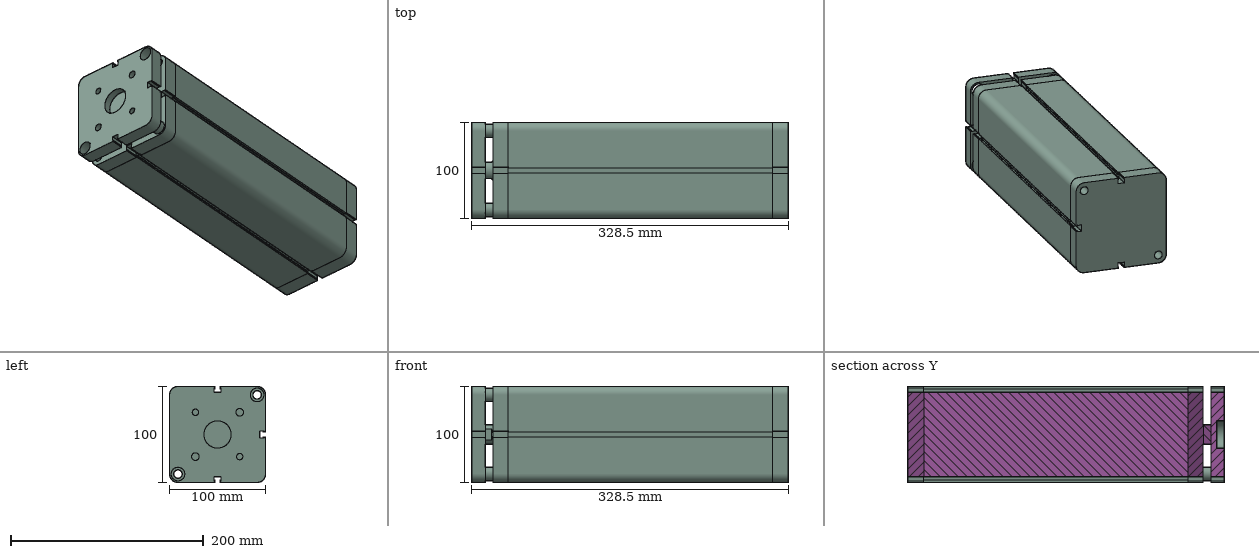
import cadquery as cq

length = 328.5
side = 100.0
corner_radius = 9.0

plate_thickness = 14.0
front_cap_start = 22.0
front_cap_thickness = 15.8
rear_cap_thickness = 16.5
barrel_start = front_cap_start + front_cap_thickness
rear_cap_start = length - rear_cap_thickness
barrel_length = rear_cap_start - barrel_start
gap = front_cap_start - plate_thickness

groove_width = 7.0
groove_depth = 6.0
mouth_width = 6.2
mouth_depth = 1.5
barrel_mouth_width = 5.0
barrel_mouth_depth = 2.5
groove_angles = (0, 90, 180)

corner_offset = 41.0
guide_points = [(corner_offset, corner_offset), (-corner_offset, -corner_offset)]
guide_diameter = 14.0
bore_points = [(-corner_offset, corner_offset), (corner_offset, -corner_offset)]
bore_diameter = 8.5
access_hole_diameter = 14.0

center_recess_diameter = 28.3
center_recess_depth = 8.0
hole_offset = 23.0
pin_hole_diameter = 8.0
screw_hole_diameter = 6.5
pin_hole_points = [(-hole_offset, hole_offset), (hole_offset, -hole_offset)]
screw_hole_points = [(-hole_offset, -hole_offset), (hole_offset, hole_offset)]

rod_diameter = 20.5
across_flats = 17.0
flat_runout = (rod_diameter - across_flats) / 2
flat_length = gap - flat_runout


def section_plane(x):
    """Cross-section plane at station x, with local axes along Y and Z."""
    return cq.Workplane("YZ", origin=(x, 0, 0))


def cylinders(points, diameter, start, depth):
    """Cylinders along X at the given (Y, Z) points."""
    return section_plane(start).pushPoints(points).circle(diameter / 2).extrude(depth)


def groove_cutter(start, thickness, lip_width, lip_depth):
    """T-slots on the three grooved sides, as one cutting shape."""
    slot_depths = [(lip_width, 0, lip_depth), (groove_width, lip_depth, groove_depth)]
    cutter = cq.Workplane("YZ")
    for width, top, bottom in slot_depths:
        middle = side / 2 - (top + bottom) / 2
        slot = section_plane(start).center(0, middle).rect(width, bottom - top).extrude(thickness)
        for angle in groove_angles:
            cutter = cutter.add(slot.rotate((0, 0, 0), (1, 0, 0), angle))
    return cutter.combine()


def make_block(start, thickness, lip_width=mouth_width, lip_depth=mouth_depth):
    """Square block with rounded edges along X and three T-grooves."""
    block = section_plane(start).rect(side, side).extrude(thickness).edges("|X").fillet(corner_radius)
    return block.cut(groove_cutter(start, thickness, lip_width, lip_depth))


def make_cap(start, thickness):
    """End cap with the two mounting bores."""
    return make_block(start, thickness).cut(cylinders(bore_points, bore_diameter, start, thickness))


def make_barrel():
    """Barrel with the two mounting bores."""
    block = make_block(barrel_start, barrel_length, barrel_mouth_width, barrel_mouth_depth)
    return block.cut(cylinders(bore_points, bore_diameter, barrel_start, barrel_length))


def make_yoke():
    """Yoke plate carrying the two guide rods, which reach the front cap."""
    yoke = make_block(0, plate_thickness)
    yoke = yoke.cut(cylinders(bore_points, access_hole_diameter, 0, plate_thickness))
    yoke = yoke.cut(cylinders([(0, 0)], center_recess_diameter, 0, center_recess_depth))
    yoke = yoke.cut(cylinders(pin_hole_points, pin_hole_diameter, 0, plate_thickness))
    yoke = yoke.cut(cylinders(screw_hole_points, screw_hole_diameter, 0, plate_thickness))
    return yoke.union(cylinders(guide_points, guide_diameter, plate_thickness, gap))


def make_piston_rod():
    """Rod between the yoke plate and the front cap, with flats that run out at 45 degrees."""
    rod = cylinders([(0, 0)], rod_diameter, plate_thickness, gap)
    flat_end = plate_thickness + flat_length
    flat_outline = (
        cq.Workplane("XY")
        .moveTo(plate_thickness, across_flats / 2)
        .lineTo(flat_end, across_flats / 2)
        .lineTo(front_cap_start, rod_diameter / 2)
        .lineTo(plate_thickness, rod_diameter / 2)
        .close()
    )
    flat = flat_outline.extrude(rod_diameter / 2, both=True)
    return rod.cut(flat).cut(flat.mirror("XZ"))


yoke = make_yoke()
piston_rod = make_piston_rod()
front_cap = make_cap(front_cap_start, front_cap_thickness)
barrel = make_barrel()
rear_cap = make_cap(rear_cap_start, rear_cap_thickness)

result = cq.Compound.makeCompound(
    [yoke.val(), piston_rod.val(), front_cap.val(), barrel.val(), rear_cap.val()]
)